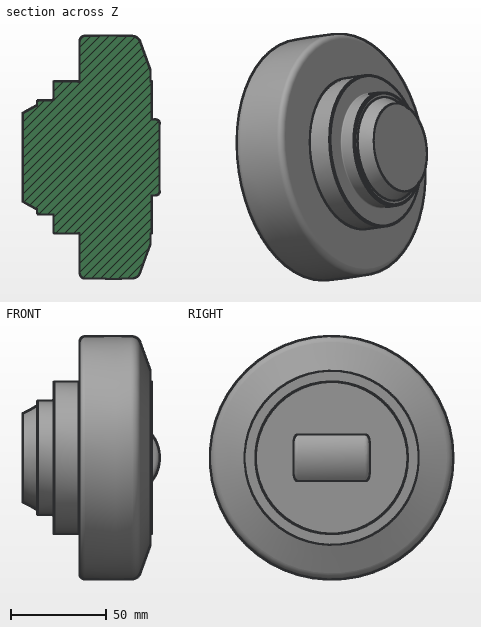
import cadquery as cq
import math

wheel_radius = 63.9
collar_radius = 40.0
hub_radius = 30.0
nose_base_radius = 27.3
nose_tip_radius = 23.3
cone_face_radius = 45.6

hub_start = 7.4
collar_start = 16.1
wheel_start = 29.8
wheel_end = 67.1
plate_end = 67.7
overall_length = 72.0

hub_chamfer = 0.8
collar_chamfer = 0.5
hub_root_round = 0.5
plate_chamfer = 0.3
tread_round = 3.1
shoulder_round = 5.0
shoulder_slope = math.radians(20)
crown_radius = 498.4

key_length = 40.0
key_radius = key_length / 2
key_round = 2.5


def revolve(profile):
    """Turn a closed (x, radius) profile about the X axis."""
    return profile.close().revolve(360, (0, 0, 0), (1, 0, 0))


def disc(start, end, radius):
    return cq.Workplane("YZ").workplane(offset=start).circle(radius).extrude(end - start)


def make_nose():
    return revolve(
        cq.Workplane("XY")
        .lineTo(0, nose_tip_radius)
        .lineTo(hub_start, nose_base_radius)
        .lineTo(hub_start, 0)
    )


def make_hub():
    return revolve(
        cq.Workplane("XY")
        .moveTo(hub_start, 0)
        .lineTo(hub_start, hub_radius - hub_chamfer)
        .lineTo(hub_start + hub_chamfer, hub_radius)
        .lineTo(collar_start - hub_root_round, hub_radius)
        .radiusArc((collar_start, hub_radius + hub_root_round), -hub_root_round)
        .lineTo(collar_start, 0)
    )


def make_collar():
    return disc(collar_start, wheel_start, collar_radius).edges().chamfer(collar_chamfer)


def make_wheel():
    cone_top_radius = wheel_radius - shoulder_round * (1 - math.sin(shoulder_slope))
    cone_start = wheel_end - (cone_top_radius - cone_face_radius) * math.tan(shoulder_slope)
    arc_center_x = cone_start - shoulder_round * math.cos(shoulder_slope)
    tread_start = wheel_start + tread_round
    tread_middle = (tread_start + arc_center_x) / 2
    half_tread = (arc_center_x - tread_start) / 2
    crown_height = crown_radius - math.sqrt(crown_radius**2 - half_tread**2)
    edge_radius = wheel_radius - crown_height
    return revolve(
        cq.Workplane("XY")
        .moveTo(wheel_start, 0)
        .lineTo(wheel_start, edge_radius - tread_round)
        .radiusArc((tread_start, edge_radius), tread_round)
        .threePointArc((tread_middle, wheel_radius), (arc_center_x, edge_radius))
        .radiusArc((cone_start, cone_top_radius), shoulder_round)
        .lineTo(wheel_end, cone_face_radius)
        .lineTo(wheel_end, 0)
    )


def make_plate():
    return disc(wheel_end, plate_end, collar_radius).faces(">X").edges().chamfer(plate_chamfer)


def make_key():
    key = (
        cq.Workplane("XZ")
        .center(overall_length - key_radius, 0)
        .circle(key_radius)
        .extrude(key_length / 2, both=True)
        .faces("<Y or >Y")
        .edges()
        .fillet(key_round)
    )
    crest = cq.Workplane("XY").box(
        overall_length - wheel_end, key_length, 2 * key_radius, centered=(False, True, True)
    ).translate((wheel_end, 0, 0))
    return key.intersect(crest)


result = make_nose()
for section in (make_hub(), make_collar(), make_wheel(), make_plate(), make_key()):
    result = result.union(section)
result = result.translate((-overall_length / 2, 0, 0))